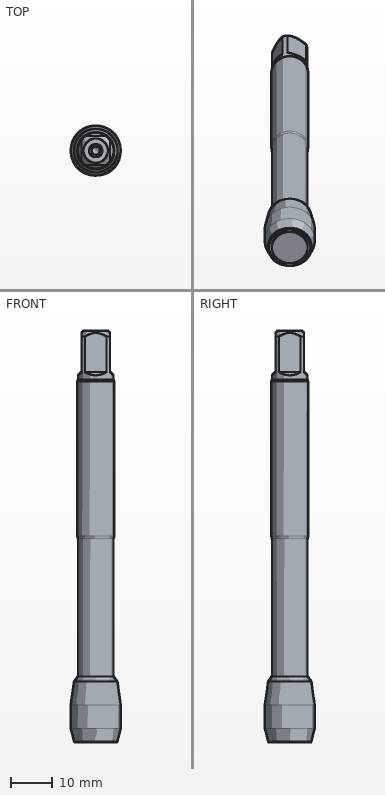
import cadquery as cq
import math

total_length = 100.0

head_diameter = 12.2
head_end_diameter = 10.6
head_bottom_diameter = 10.0
head_bottom_chamfer = 0.3
head_band_bottom = 3.5
head_band_top = 9.2
head_shoulder = 14.9
shoulder_chamfer = 0.3
head_height = 16.1

lower_diameter = 8.7
upper_diameter = 9.0
drive_diameter = 8.7
step_height = 49.5
step_chamfer = 0.7
collar_height = 87.7
collar_chamfer = 0.4

square_width = 7.0
square_bottom = 90.0
square_runout_angle = 45.0
top_chamfer = 1.4

centre_hole_diameter = 2.0
countersink_diameter = 3.2
countersink_depth = 1.0
centre_hole_depth = 4.0
drill_point_angle = 118.0


def make_head():
    """Revolve the tapered sleeve and leave a through bore for the shaft."""
    bore = lower_diameter / 2
    end = head_end_diameter / 2
    band = head_diameter / 2
    return (
        cq.Workplane("XZ")
        .moveTo(bore, 0)
        .lineTo(head_bottom_diameter / 2, 0)
        .lineTo(end, head_bottom_chamfer)
        .lineTo(band, head_band_bottom)
        .lineTo(band, head_band_top)
        .lineTo(end, head_shoulder)
        .lineTo(end - shoulder_chamfer, head_shoulder + shoulder_chamfer)
        .lineTo(bore, head_height)
        .close()
        .revolve(360, (0, 0, 0), (0, 1, 0))
    )


def make_shaft_blank():
    """Revolve the stepped shaft with its chamfered top end."""
    lower = lower_diameter / 2
    upper = upper_diameter / 2
    drive = drive_diameter / 2
    return (
        cq.Workplane("XZ")
        .lineTo(lower, 0)
        .lineTo(lower, step_height)
        .lineTo(upper, step_height + step_chamfer)
        .lineTo(upper, collar_height)
        .lineTo(drive, collar_height + collar_chamfer)
        .lineTo(drive, total_length - top_chamfer)
        .lineTo(drive - top_chamfer, total_length)
        .lineTo(0, total_length)
        .close()
        .revolve(360, (0, 0, 0), (0, 1, 0))
    )


def make_flat_cutter():
    """Cutter for the +X flat, whose floor slopes down and outwards."""
    flat = square_width / 2
    outside = upper_diameter
    drop = (outside - flat) * math.tan(math.radians(square_runout_angle))
    return (
        cq.Workplane("XZ")
        .moveTo(flat, square_bottom)
        .lineTo(outside, square_bottom - drop)
        .lineTo(outside, total_length)
        .lineTo(flat, total_length)
        .close()
        .extrude(upper_diameter, both=True)
    )


def make_centre_hole():
    """Countersunk blind hole with a conical drill point."""
    hole = centre_hole_diameter / 2
    hole_bottom = total_length - centre_hole_depth
    point_depth = hole / math.tan(math.radians(drill_point_angle / 2))
    return (
        cq.Workplane("XZ")
        .moveTo(0, total_length)
        .lineTo(countersink_diameter / 2, total_length)
        .lineTo(hole, total_length - countersink_depth)
        .lineTo(hole, hole_bottom)
        .lineTo(0, hole_bottom - point_depth)
        .close()
        .revolve(360, (0, 0, 0), (0, 1, 0))
    )


def make_shaft():
    shaft = make_shaft_blank()
    flat_cutter = make_flat_cutter()
    for side in range(4):
        shaft = shaft.cut(flat_cutter.rotate((0, 0, 0), (0, 0, 1), side * 90))
    return shaft.cut(make_centre_hole())


head = make_head()
shaft = make_shaft()
result = cq.Compound.makeCompound([head.val(), shaft.val()])